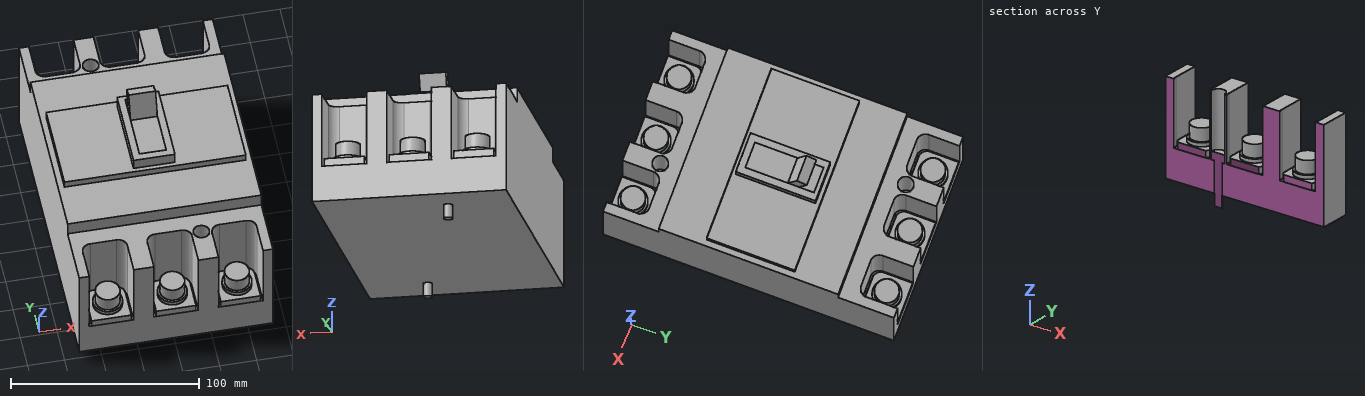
import cadquery as cq
import math


HOUSING_WIDTH = 105.0
HOUSING_LENGTH = 165.0
SHOULDER_LENGTH = 31.7
SHOULDER_Z = 59.9
DECK_Z = 67.8

PLATE_WIDTH = 98.2
PLATE_LENGTH = 50.0
PLATE_TOP_Z = 71.8
FRAME_WIDTH = 22.5
FRAME_LENGTH = 45.2
FRAME_TOP_Z = 78.2
WINDOW_WIDTH = 14.5
WINDOW_LENGTH = 39.0
WINDOW_OFFSET_Y = 0.8
WINDOW_DEPTH = 0.1

LEVER_THICKNESS = 6.0
LEVER_TILT = 19.5
LEVER_TOP_Z = 92.7
LEVER_FOOT_Y = 5.5

POLE_PITCH = 35.0
POCKET_WIDTH = 24.1
POCKET_LENGTH = 22.5
POCKET_FLOOR_Z = 19.5
CORNER_RADIUS = 5.0

PAD_CLEARANCE = 1.3
PAD_WIDTH = POCKET_WIDTH - 2 * PAD_CLEARANCE
PAD_LENGTH = POCKET_LENGTH - PAD_CLEARANCE
PAD_THICKNESS = 4.1
WASHER_DIAMETER = 15.8
WASHER_THICKNESS = 2.3
BOLT_DIAMETER = 13.2
BOLT_HEIGHT = 8.1
BOLT_INSET = 10.5

SCREW_DIAMETER = 4.8
SCREW_PROTRUSION = 7.5
SCREW_HEAD_DIAMETER = 8.5
SCREW_HEAD_HEIGHT = 5.0
SCREW_SEAT_Z = POCKET_FLOOR_Z
SCREW_INSET = 19.5

FRONT = -1
REAR = 1
TERMINAL_PLACES = [(pole * POLE_PITCH, end) for end in (FRONT, REAR) for pole in (-1, 0, 1)]

SCREW_X = POLE_PITCH / 2
SCREW_Y = HOUSING_LENGTH / 2 - SCREW_INSET
SCREW_PLACES = [(-SCREW_X, SCREW_Y), (SCREW_X, -SCREW_Y)]


def block(width, length, bottom_z, top_z, x=0.0, y=0.0):
    """Upright box centred on (x, y)."""
    base = cq.Workplane("XY", origin=(x, y, bottom_z))
    return base.rect(width, length).extrude(top_z - bottom_z)


def cylinder(diameter, bottom_z, top_z, x, y):
    """Upright cylinder centred on (x, y)."""
    base = cq.Workplane("XY", origin=(x, y, bottom_z))
    return base.circle(diameter / 2).extrude(top_z - bottom_z)


def end_block(width, length, bottom_z, top_z, x, end):
    """Box reaching inward from an end face, with its two inner upright edges rounded."""
    y = end * (HOUSING_LENGTH - length) / 2
    inner_edges = "|Z and <Y" if end == REAR else "|Z and >Y"
    return block(width, length, bottom_z, top_z, x, y).edges(inner_edges).fillet(CORNER_RADIUS)


def make_lever():
    """Slanted lever that fills the width of the window and stands on its floor."""
    tilt = math.radians(LEVER_TILT)
    foot_z = FRAME_TOP_Z - WINDOW_DEPTH
    top_front_y = LEVER_FOOT_Y + (LEVER_TOP_Z - foot_z) * math.tan(tilt)
    top_rear_y = top_front_y + LEVER_THICKNESS * math.cos(tilt)
    top_rear_z = LEVER_TOP_Z - LEVER_THICKNESS * math.sin(tilt)
    foot_rear_y = LEVER_FOOT_Y + LEVER_THICKNESS / math.cos(tilt)
    side = [
        (LEVER_FOOT_Y, foot_z),
        (top_front_y, LEVER_TOP_Z),
        (top_rear_y, top_rear_z),
        (foot_rear_y, foot_z),
    ]
    return cq.Workplane("YZ").polyline(side).close().extrude(WINDOW_WIDTH / 2, both=True)


def make_housing():
    """Housing with its label plate, toggle frame and lever, terminal pockets and screw holes."""
    deck_length = HOUSING_LENGTH - 2 * SHOULDER_LENGTH
    window_floor_z = FRAME_TOP_Z - WINDOW_DEPTH
    body = block(HOUSING_WIDTH, HOUSING_LENGTH, 0, SHOULDER_Z)
    body = body.union(block(HOUSING_WIDTH, deck_length, 0, DECK_Z))
    body = body.union(block(PLATE_WIDTH, PLATE_LENGTH, DECK_Z, PLATE_TOP_Z))
    body = body.union(block(FRAME_WIDTH, FRAME_LENGTH, PLATE_TOP_Z, FRAME_TOP_Z))
    body = body.cut(block(WINDOW_WIDTH, WINDOW_LENGTH, window_floor_z, FRAME_TOP_Z, y=WINDOW_OFFSET_Y))
    body = body.union(make_lever())
    for x, end in TERMINAL_PLACES:
        body = body.cut(end_block(POCKET_WIDTH, POCKET_LENGTH, POCKET_FLOOR_Z, SHOULDER_Z, x, end))
    for x, y in SCREW_PLACES:
        body = body.cut(cylinder(SCREW_DIAMETER, 0, SCREW_SEAT_Z, x, y))
        body = body.cut(cylinder(SCREW_HEAD_DIAMETER, SCREW_SEAT_Z, SHOULDER_Z, x, y))
    return body


def make_terminal(x, end):
    """Pad on a pocket floor, flush with the end face, carrying a washer and a bolt head."""
    pad_top_z = POCKET_FLOOR_Z + PAD_THICKNESS
    washer_top_z = pad_top_z + WASHER_THICKNESS
    bolt_top_z = washer_top_z + BOLT_HEIGHT
    bolt_y = end * (HOUSING_LENGTH / 2 - BOLT_INSET)
    pad = end_block(PAD_WIDTH, PAD_LENGTH, POCKET_FLOOR_Z, pad_top_z, x, end)
    washer = cylinder(WASHER_DIAMETER, pad_top_z, washer_top_z, x, bolt_y)
    bolt = cylinder(BOLT_DIAMETER, washer_top_z, bolt_top_z, x, bolt_y)
    return pad.union(washer).union(bolt)


def make_screw(x, y):
    """Mounting screw whose head rests on the counterbore seat; the shank sticks out below."""
    shank = cylinder(SCREW_DIAMETER, -SCREW_PROTRUSION, SCREW_SEAT_Z, x, y)
    head = cylinder(SCREW_HEAD_DIAMETER, SCREW_SEAT_Z, SCREW_SEAT_Z + SCREW_HEAD_HEIGHT, x, y)
    return shank.union(head)


housing = make_housing()
terminals = [make_terminal(x, end).val() for x, end in TERMINAL_PLACES]
screws = [make_screw(x, y).val() for x, y in SCREW_PLACES]

result = cq.Compound.makeCompound([housing.val(), *terminals, *screws])